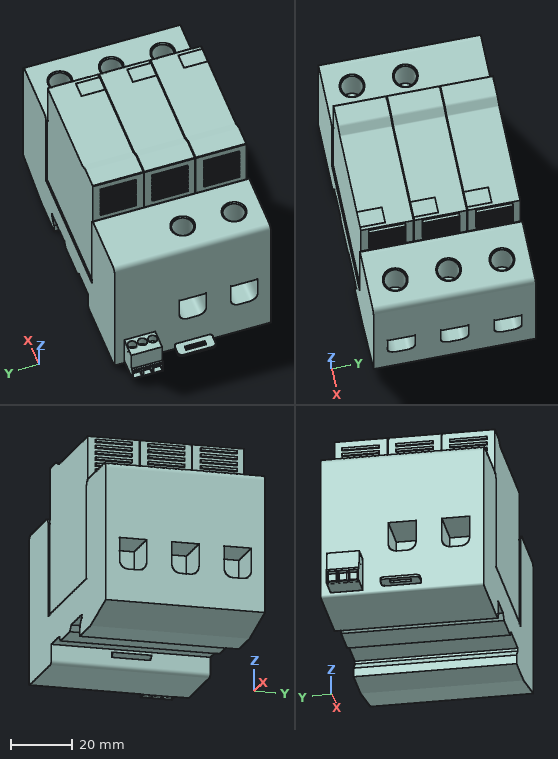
import cadquery as cq


housing_length = 90.0
housing_width = 54.0
shoulder_height = 50.6
shoulder_radius = 2.0
heel_radius = 0.9
foot_radius = 1.5

rail_left = 26.25
rail_right = 61.7
rail_roof = 6.7
rail_hook_x = 59.5
rail_hook_z = 3.1
rail_hook_top = 5.7
bump_left = 35.3
bump_right = 49.6
bump_depth = 1.9
bump_run = 1.7
ramp_start_x = 72.1
ramp_end_z = 3.8

module_count = 3
module_pitch = 17.7
module_gap = 0.3
seat_left = 22.4
seat_right = 67.4
seat_floor = 17.3
seat_top = shoulder_height - shoulder_radius
module_clearance = 0.3
module_recess = 0.5
module_top = 67.4
module_deck = 65.8
slope_start_x = 30.0
slope_end_x = 33.0
slope_crest_radius = 1.6
slope_toe_radius = 0.8
module_edge_chamfer = 0.2
module_left = seat_left + module_clearance
module_right = seat_right - module_clearance
modules_width = housing_width - 2 * module_recess

fin_count = 7
fin_lowest_z = 52.2
fin_highest_z = 64.3
fin_pitch = (fin_highest_z - fin_lowest_z) / (fin_count - 1)
fin_thickness = 0.8
fin_width = 12.2
fin_spacing_y = 17.8
fin_reach_left = 0.6
fin_reach_right = 1.0

window_left = 60.4
window_right = 65.9
window_width = 8.3
window_depth = 0.1

terminal_inset = 10.0
screw_diameter = 7.3
screw_rim_diameter = 8.2
screw_depth = 14.7
wire_width = 9.2
wire_bottom = 14.8
wire_top = 25.3
wire_radius = 2.9
wire_depth = 14.7

connector_y = 18.3
connector_width = 10.7
connector_bottom = 1.6
connector_top = 12.6
connector_ledge = 6.1
connector_reach_top = 6.8
connector_reach_ledge = 7.15
connector_reach = 7.9
pole_count = 3
pole_pitch = 3.5
pole_hole_diameter = 3.0
pole_hole_x = -2.6
pole_depth = 2.9
socket_width = 2.9
socket_bottom = 1.9
socket_top = 5.4
socket_depth = 2.0

slider_width = 13.1
tab_reach = 5.1
tab_bottom = 2.4
tab_thickness = 0.8
tab_radius = 1.5
tab_overlap = 0.3
tab_slot_length = 6.9
tab_slot_width = 1.5
tab_slot_x = -2.7
latch_reach = 1.7
latch_bottom = 3.9
latch_top = 5.7
latch_tip_z = 5.2

overlap = 1.0
edge_tolerance = 0.05


def centred_places(count, pitch):
    """Evenly spaced positions centred on zero."""
    return [(i - (count - 1) / 2) * pitch for i in range(count)]


module_rows = centred_places(module_count, module_pitch)


def block(x0, x1, y0, y1, z0, z1):
    """Box between two opposite corners."""
    return cq.Workplane("XY").box(x1 - x0, y1 - y0, z1 - z0, centered=False).translate((x0, y0, z0))


def plate(points, width, y_middle=0.0):
    """XZ outline extruded to a width about a given Y."""
    outline = cq.Workplane("XZ").polyline(points).close()
    return outline.extrude(width / 2, both=True).translate((0, y_middle, 0))


def fillet_at(body, x, z, radius):
    """Round the edge along Y that passes through (x, z)."""
    low = (x - edge_tolerance, -housing_width, z - edge_tolerance)
    high = (x + edge_tolerance, housing_width, z + edge_tolerance)
    corner = cq.selectors.BoxSelector(low, high)
    return body.edges("|Y").edges(corner).fillet(radius)


def make_housing():
    bump_bottom = rail_roof - bump_depth
    body = plate(
        [
            (0, 0),
            (rail_left, 0),
            (rail_left, rail_roof),
            (bump_left, rail_roof),
            (bump_left + bump_run, bump_bottom),
            (bump_right - bump_run, bump_bottom),
            (bump_right, rail_roof),
            (rail_right, rail_roof),
            (rail_right, rail_hook_top),
            (rail_hook_x, rail_hook_z),
            (rail_hook_x, 0),
            (ramp_start_x, 0),
            (housing_length, ramp_end_z),
            (housing_length, shoulder_height),
            (seat_right, shoulder_height),
            (seat_right, seat_floor),
            (seat_left, seat_floor),
            (seat_left, shoulder_height),
            (0, shoulder_height),
        ],
        housing_width,
    )
    for x in (0, seat_left, seat_right, housing_length):
        body = fillet_at(body, x, shoulder_height, shoulder_radius)
    body = fillet_at(body, 0, 0, heel_radius)
    return fillet_at(body, rail_left, 0, foot_radius)


def make_modules():
    body = plate(
        [
            (seat_left, seat_floor),
            (seat_right, seat_floor),
            (seat_right, seat_top),
            (module_right, seat_top),
            (module_right, module_deck),
            (slope_end_x, module_deck),
            (slope_start_x, module_top),
            (module_left, module_top),
            (module_left, seat_top),
            (seat_left, seat_top),
        ],
        modules_width,
    )
    body = fillet_at(body, slope_start_x, module_top, slope_crest_radius)
    body = fillet_at(body, slope_end_x, module_deck, slope_toe_radius)
    body = body.edges("|Y").edges(">Z").edges("<X").chamfer(module_edge_chamfer)
    for lower, upper in zip(module_rows, module_rows[1:]):
        y = (lower + upper) / 2
        gap = block(seat_left, seat_right, y - module_gap / 2, y + module_gap / 2, seat_floor, module_top)
        body = body.cut(gap)
    return body


def make_window(row_y):
    floor_z = module_deck - window_depth
    front = max(row_y - module_pitch / 2, -modules_width / 2)
    return block(window_left, window_right, front, front + window_width, floor_z, module_top)


def make_fin(x0, x1, y, z):
    return block(x0, x1, y - fin_width / 2, y + fin_width / 2, z - fin_thickness / 2, z + fin_thickness / 2)


def add_fins(body):
    left = (module_left - fin_reach_left, module_left + overlap)
    right = (module_right - overlap, module_right + fin_reach_right)
    for y in centred_places(module_count, fin_spacing_y):
        for level in range(fin_count):
            z = fin_lowest_z + level * fin_pitch
            for x0, x1 in (left, right):
                body = body.union(make_fin(x0, x1, y, z))
    return body


def make_screw_hole(x, y):
    rim = (screw_rim_diameter - screw_diameter) / 2
    top = cq.Workplane("XY", origin=(x, y, shoulder_height))
    shaft = top.circle(screw_diameter / 2).extrude(-screw_depth)
    countersink = top.circle(screw_rim_diameter / 2).extrude(-rim, taper=45)
    return shaft.union(countersink)


def make_wire_opening(x0, x1, y):
    opening = block(x0, x1, y - wire_width / 2, y + wire_width / 2, wire_bottom, wire_top)
    return opening.edges("|X and <Z").fillet(wire_radius)


def make_connector():
    body = plate(
        [
            (overlap, connector_bottom),
            (-connector_reach, connector_bottom),
            (-connector_reach, connector_ledge),
            (-connector_reach_ledge, connector_ledge),
            (-connector_reach_top, connector_top),
            (overlap, connector_top),
        ],
        connector_width,
        connector_y,
    )
    for offset in centred_places(pole_count, pole_pitch):
        y = connector_y + offset
        top = cq.Workplane("XY", origin=(pole_hole_x, y, connector_top))
        body = body.cut(top.circle(pole_hole_diameter / 2).extrude(-pole_depth))
        socket = block(
            -connector_reach,
            -connector_reach + socket_depth,
            y - socket_width / 2,
            y + socket_width / 2,
            socket_bottom,
            socket_top,
        )
        body = body.cut(socket)
    return body


def make_tab():
    half = slider_width / 2
    tab = block(-tab_reach, tab_overlap, -half, half, tab_bottom, tab_bottom + tab_thickness)
    tab = tab.edges("|Z").fillet(tab_radius)
    slot = cq.Workplane("XY", origin=(tab_slot_x, 0, tab_bottom)).rect(tab_slot_width, tab_slot_length)
    return tab.cut(slot.extrude(tab_thickness))


def make_latch():
    return plate(
        [
            (rail_left - overlap, latch_bottom),
            (rail_left, latch_bottom),
            (rail_left + latch_reach, latch_tip_z),
            (rail_left, latch_top),
            (rail_left - overlap, latch_top),
        ],
        slider_width,
    )


result = make_housing().union(make_modules())
result = add_fins(result)

left_rows = module_rows[:-1]
for row_y in left_rows:
    result = result.cut(make_screw_hole(terminal_inset, row_y))
    result = result.cut(make_wire_opening(0, wire_depth, row_y))
for row_y in module_rows:
    result = result.cut(make_screw_hole(housing_length - terminal_inset, row_y))
    result = result.cut(make_wire_opening(housing_length - wire_depth, housing_length, row_y))
    result = result.cut(make_window(row_y))

result = result.union(make_connector()).union(make_tab()).union(make_latch())